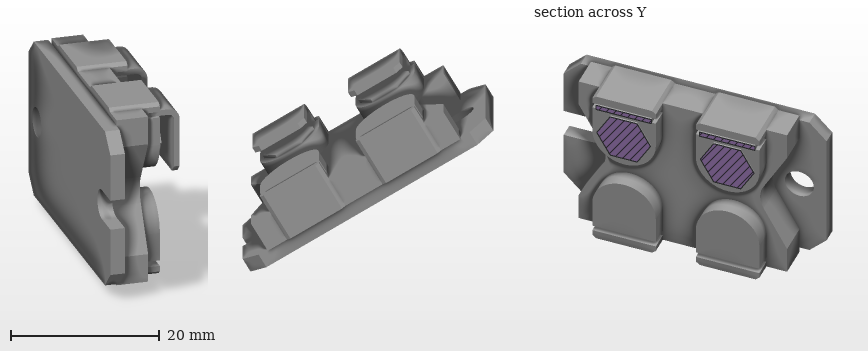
import cadquery as cq
import math

plate_length = 38.1
plate_height = 22.4
plate_thickness = 2.05
plate_chamfer = 2.5

mount_offset = 15.1
mount_diameter = 4.2

housing_length = 2 * mount_offset
housing_height = 24.0
housing_top = 6.5
notch_radius = 3.9
notch_half_mouth = 8.0

pad_offset = 7.5
pad_width = 9.2
pad_flat_width = 8.1
pad_round_center = 6.4
pad_outer_edge = 12.45
pad_top = 9.05

terminal_width = pad_flat_width
terminal_thickness = 0.8
terminal_outer_z = 11.2
terminal_inner_z = terminal_outer_z - terminal_thickness
terminal_end_z = 1.8
terminal_top = 12.0
terminal_bend_radius = 1.55
terminal_end_chamfer = 1.0

nut_across_flats = 6.8
nut_top = 9.5


def plane_at(y):
    """XZ sketch plane at height y, with its normal along +Y and local y along -Z."""
    return cq.Workplane(cq.Plane(origin=(0, y, 0), xDir=(1, 0, 0), normal=(0, 1, 0)))


def make_plate():
    plate = plane_at(0).rect(plate_length, plate_height).extrude(plate_thickness)
    plate = plate.edges("|Y").chamfer(plate_chamfer)
    hole = plane_at(0).center(-mount_offset, 0).circle(mount_diameter / 2).extrude(plate_thickness)
    slot_end = plane_at(0).center(mount_offset, 0).circle(mount_diameter / 2).extrude(plate_thickness)
    slot_length = plate_length / 2 - mount_offset
    slot = (
        plane_at(0)
        .center(mount_offset + slot_length / 2, 0)
        .rect(slot_length, mount_diameter)
        .extrude(plate_thickness)
    )
    return plate.cut(hole).cut(slot_end).cut(slot)


def make_notch(side):
    """Notch cutter; side is -1 or +1. Its walls are tangent to an arc about the mounting point."""
    taper = math.asin(notch_radius / notch_half_mouth)
    end_x = side * mount_offset
    tangent_x = end_x - side * notch_radius * math.cos(taper)
    tangent_z = notch_radius * math.sin(taper)
    tip_x = end_x - side * notch_radius
    return (
        plane_at(plate_thickness)
        .moveTo(end_x, notch_half_mouth)
        .lineTo(tangent_x, tangent_z)
        .threePointArc((tip_x, 0), (tangent_x, -tangent_z))
        .lineTo(end_x, -notch_half_mouth)
        .close()
        .extrude(housing_top - plate_thickness)
    )


def make_pad(center_x, side):
    """Raised pad; side is +1 for the +Z row and -1 for the -Z row."""
    half = pad_width / 2
    flat_half = pad_flat_width / 2
    shoulder_z = housing_height / 2
    outline = (
        plane_at(plate_thickness)
        .center(center_x, 0)
        .moveTo(-half, -side * pad_round_center)
        .threePointArc((0, -side * (pad_round_center - half)), (half, -side * pad_round_center))
        .lineTo(half, -side * shoulder_z)
        .lineTo(flat_half, -side * pad_outer_edge)
        .lineTo(-flat_half, -side * pad_outer_edge)
        .lineTo(-half, -side * shoulder_z)
        .close()
    )
    return outline.extrude(pad_top - plate_thickness)


def make_terminal_slot(center_x, side):
    """Cutter for the slot across a pad, from the housing top upwards."""
    middle_z = side * (terminal_outer_z + terminal_inner_z) / 2
    return (
        plane_at(housing_top)
        .center(center_x, -middle_z)
        .rect(pad_width, terminal_thickness)
        .extrude(pad_top - housing_top)
    )


def make_terminal(center_x):
    inner_top = terminal_top - terminal_thickness
    leg = (
        cq.Workplane("YZ", origin=(center_x, 0, 0))
        .moveTo(housing_top, terminal_outer_z)
        .lineTo(terminal_top, terminal_outer_z)
        .lineTo(terminal_top, terminal_end_z)
        .lineTo(inner_top, terminal_end_z)
        .lineTo(inner_top, terminal_inner_z)
        .lineTo(housing_top, terminal_inner_z)
        .close()
        .extrude(terminal_width / 2, both=True)
    )
    leg = leg.edges("|X").edges(">Y and >Z").fillet(terminal_bend_radius)
    inner_corner = cq.selectors.NearestToPointSelector((center_x, inner_top, terminal_inner_z))
    leg = leg.edges("|X").edges(inner_corner).fillet(terminal_bend_radius - terminal_thickness)
    return leg.faces("<Z").edges("|Y").chamfer(terminal_end_chamfer)


def make_nut(center_x):
    across_corners = nut_across_flats / math.cos(math.pi / 6)
    return (
        plane_at(pad_top)
        .center(center_x, -pad_round_center)
        .polygon(6, across_corners)
        .extrude(nut_top - pad_top)
    )


result = make_plate()

housing = (
    plane_at(plate_thickness)
    .rect(housing_length, housing_height)
    .extrude(housing_top - plate_thickness)
)
for end_side in (-1, 1):
    housing = housing.cut(make_notch(end_side))
result = result.union(housing)

for pad_x in (-pad_offset, pad_offset):
    for row_side in (-1, 1):
        pad = make_pad(pad_x, row_side).cut(make_terminal_slot(pad_x, row_side))
        result = result.union(pad)
    result = result.union(make_terminal(pad_x)).union(make_nut(pad_x))